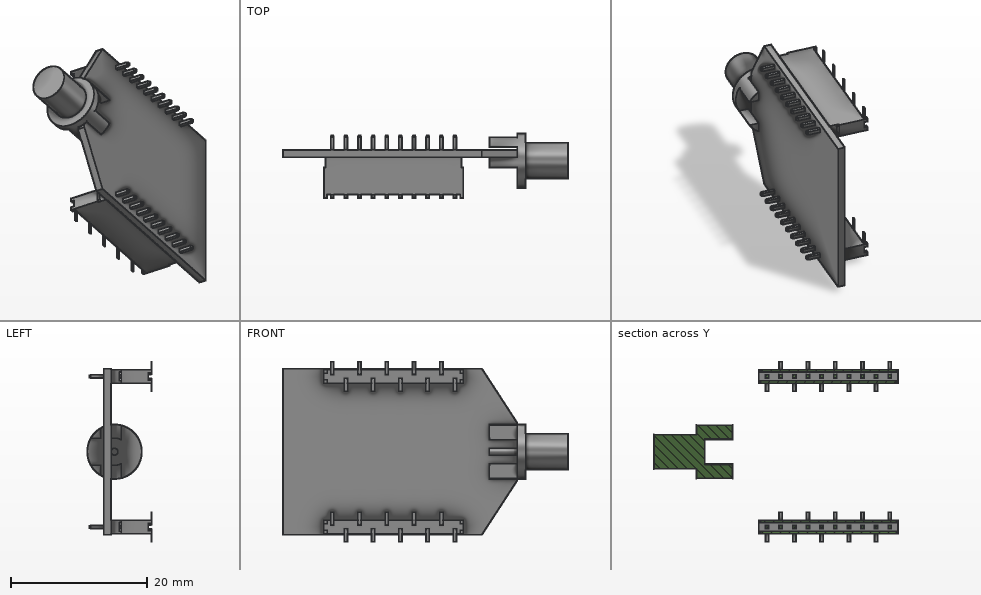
import cadquery as cq


connector_end = 41.85
flange_diameter = 8.05
flange_thickness = 1.25
barrel_diameter = 5.3
contact_diameter = 1.0
prong_length = 4.05
prong_bore_diameter = 4.0
near_prong_front = -1.0
far_prong_start = 2.0

board_length = 34.35
board_width = 24.4
board_thickness = 1.1
shoulder_x = 29.2
nose_width = 8.58
board_front = contact_diameter / 2
board_back = board_front + board_thickness

pin_count = 10
pin_pitch = 2.0
first_pin_x = 7.25
row_offset = 11.05
row_width = 2.0
row_middle = first_pin_x + pin_pitch * (pin_count - 1) / 2

header_length = pin_pitch * pin_count
header_front = -0.95
channel_width = 1.25
channel_depth = 0.25

socket_length = 20.5
foot_front = -5.5
foot_size = 0.5
socket_front = foot_front + foot_size

pin_size = 0.5
pin_end = 3.72
pin_taper_length = 0.25
pin_tip_size = 0.3

tail_thickness = 0.13
tail_bend_radius = 0.25
tail_inner_offset = 0.25
tail_reach = 2.18


def box_between(x_range, y_range, z_range):
    """Axis-aligned box spanning the three ranges."""
    spans = (x_range, y_range, z_range)
    sizes = [high - low for low, high in spans]
    middles = [(high + low) / 2 for low, high in spans]
    return cq.Workplane("XY").box(*sizes).translate(tuple(middles))


def around(middle, size):
    """Range of the given size centred on a value."""
    return (middle - size / 2, middle + size / 2)


def rod(start_x, end_x, diameter):
    """Cylinder on the coax axis."""
    return cq.Workplane("YZ", origin=(start_x, 0, 0)).circle(diameter / 2).extrude(end_x - start_x)


def make_board():
    """Plate with its front corners cut back to a narrow nose."""
    half_outline = [(0, board_width / 2), (shoulder_x, board_width / 2), (board_length, nose_width / 2)]
    mirrored = [(x, -z) for x, z in reversed(half_outline)]
    plane = cq.Workplane("XZ", origin=(0, board_back, 0))
    return plane.polyline(half_outline + mirrored).close().extrude(board_thickness)


def make_header(row_z):
    """Header strip with a channel along the face that meets the socket."""
    strip = box_between(
        around(row_middle, header_length), (header_front, board_front), around(row_z, row_width)
    )
    channel = box_between(
        around(row_middle, header_length),
        (header_front, header_front + channel_depth),
        around(row_z, channel_width),
    )
    return strip.cut(channel)


def make_socket(row_z):
    """Socket block with a square foot at each corner."""
    block = box_between(
        around(row_middle, socket_length), (foot_front, header_front), around(row_z, row_width)
    )
    relief_y = (foot_front, socket_front)
    long_relief = box_between(
        around(row_middle, socket_length), relief_y, around(row_z, row_width - 2 * foot_size)
    )
    cross_relief = box_between(
        around(row_middle, socket_length - 2 * foot_size), relief_y, around(row_z, row_width)
    )
    return block.cut(long_relief).cut(cross_relief)


def make_pin(pin_x, row_z):
    """Square header pin from the socket through the board, with a tapered tip."""
    shank_end = pin_end - pin_taper_length
    shank = box_between(
        around(pin_x, pin_size), (header_front, shank_end), around(row_z, pin_size)
    )
    tip = (
        cq.Workplane("XZ", origin=(pin_x, shank_end, row_z))
        .rect(pin_size, pin_size)
        .workplane(offset=-pin_taper_length)
        .rect(pin_tip_size, pin_tip_size)
        .loft()
    )
    return shank.union(tip)


def make_tail(pin_x, row_z, side):
    """Solder tail bent outward from under the socket; side is +1 toward +Z and -1 toward -Z."""
    inner_z = row_z + side * tail_inner_offset
    outer_z = inner_z + side * tail_thickness
    bend_z = inner_z + side * tail_bend_radius
    end_z = row_z + side * tail_reach
    bend_y = foot_front + tail_bend_radius
    tail_back = foot_front + tail_thickness
    inner_radius = tail_bend_radius - tail_thickness
    profile = (
        cq.Workplane("YZ", origin=(pin_x - pin_size / 2, 0, 0))
        .moveTo(socket_front, inner_z)
        .lineTo(bend_y, inner_z)
        .radiusArc((foot_front, bend_z), side * tail_bend_radius)
        .lineTo(foot_front, end_z)
        .lineTo(tail_back, end_z)
        .lineTo(tail_back, bend_z)
        .radiusArc((bend_y, outer_z), -side * inner_radius)
        .lineTo(socket_front, outer_z)
        .close()
    )
    return profile.extrude(pin_size)


def make_board_assembly():
    """Board with its two soldered and mated header rows, as one solid."""
    assembly = make_board()
    for row_z in (row_offset, -row_offset):
        assembly = assembly.union(make_header(row_z)).union(make_socket(row_z))
        for index in range(pin_count):
            pin_x = first_pin_x + index * pin_pitch
            side = 1 if index % 2 == 0 else -1
            assembly = assembly.union(make_pin(pin_x, row_z))
            assembly = assembly.union(make_tail(pin_x, row_z, side))
    return assembly


def make_prongs(start_x):
    """Four prongs left from a tube: one pair on the board's front face, one pair behind the board."""
    prong_x = (start_x, board_length)
    radius = flange_diameter / 2
    tube = rod(start_x, board_length, flange_diameter).cut(
        rod(start_x, board_length, prong_bore_diameter)
    )
    full_z = around(0, flange_diameter)
    near_zone = box_between(prong_x, (near_prong_front, board_front), full_z)
    far_zone = box_between(prong_x, (far_prong_start, radius), full_z)
    far_gap = box_between(prong_x, (far_prong_start, radius), around(0, prong_bore_diameter))
    return tube.intersect(near_zone.union(far_zone.cut(far_gap)))


def make_connector():
    """Edge-mount coax connector: barrel, flange, centre contact and prongs."""
    flange_end = board_length + flange_thickness
    prong_start = board_length - prong_length
    connector = rod(board_length, flange_end, flange_diameter)
    connector = connector.union(rod(flange_end, connector_end, barrel_diameter))
    connector = connector.union(rod(prong_start, board_length, contact_diameter))
    return connector.union(make_prongs(prong_start))


board_assembly = make_board_assembly()
coax_connector = make_connector()

result = cq.Compound.makeCompound([board_assembly.val(), coax_connector.val()])